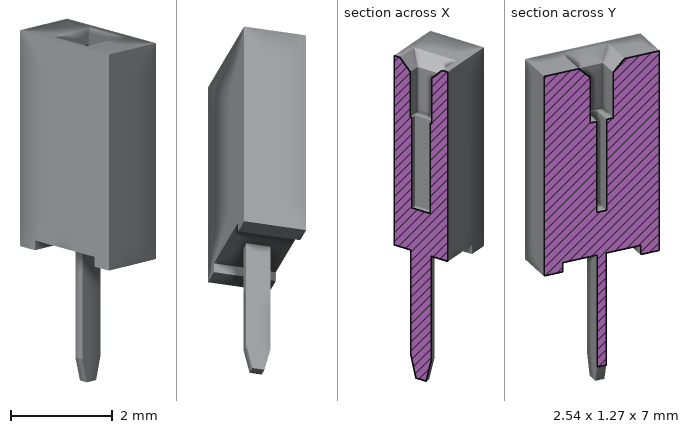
import cadquery as cq

body_x = 2.54
body_y = 1.27
total_height = 7.0
body_height = 4.4
body_bottom = total_height - body_height
relief_width = 1.7
relief_height = 0.2

funnel_top = 1.0
entry_side = 0.5
funnel_depth = (funnel_top - entry_side) / 2
entry_depth = 1.0
contact_slot_x = 0.2
contact_slot_y = 0.42
contact_slot_depth = 2.0

pin_x = 0.2
pin_y = 0.5
tip_y = 0.25
tip_length = 0.5


def make_housing():
    """Block with a relief across its underside that leaves a foot at each end."""
    block = cq.Workplane("XY", origin=(0, 0, body_bottom)).box(
        body_x, body_y, body_height, centered=(True, True, False)
    )
    relief = cq.Workplane("XY", origin=(0, 0, body_bottom)).box(
        relief_width, body_y, relief_height, centered=(True, True, False)
    )
    return block.cut(relief)


def make_socket():
    """Volume of the opening: tapered lead-in, square entry, narrow contact slot."""
    top = cq.Workplane("XY", origin=(0, 0, total_height))
    funnel = (
        top.rect(funnel_top, funnel_top)
        .workplane(offset=-funnel_depth)
        .rect(entry_side, entry_side)
        .loft(ruled=True)
    )
    entry = (
        top.workplane(offset=-funnel_depth)
        .rect(entry_side, entry_side)
        .extrude(-entry_depth)
    )
    contact_slot = (
        top.workplane(offset=-funnel_depth - entry_depth)
        .rect(contact_slot_x, contact_slot_y)
        .extrude(-contact_slot_depth)
    )
    return funnel.union(entry).union(contact_slot)


def make_pin():
    """Flat pin, narrowed in Y at its tip, reaching up to the relief."""
    pin_top = body_bottom + relief_height
    return (
        cq.Workplane("YZ")
        .polyline(
            [
                (-tip_y / 2, 0),
                (tip_y / 2, 0),
                (pin_y / 2, tip_length),
                (pin_y / 2, pin_top),
                (-pin_y / 2, pin_top),
                (-pin_y / 2, tip_length),
            ]
        )
        .close()
        .extrude(pin_x / 2, both=True)
    )


result = make_housing().cut(make_socket()).union(make_pin())